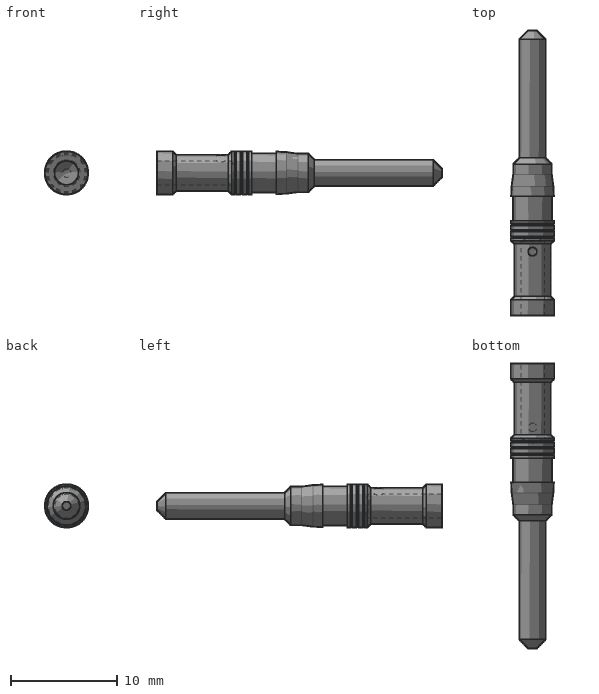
import cadquery as cq
import math


collar_diameter = 4.1
barrel_diameter = 3.45
neck_diameter = 3.7
shoulder_diameter = 3.65
pin_diameter = 2.5
bore_diameter = 2.25
vent_diameter = 0.8

total_length = 26.8
entry_collar_length = 1.475
rib_section_start = 6.72
rib_section_end = 8.92
barb_base = 11.2
barb_bend = 12.15
barb_end = 13.25
shoulder_end = 14.225

barb_bend_diameter = 3.95
barb_base_diameter = 4.05

groove_count = 3
groove_width = 0.2
groove_pitch = 0.6
first_groove_center = 7.35

tip_diameter = 0.8

bore_depth = 7.0
drill_point_angle = 130
vent_position = 6.0


def cone_length(large_diameter, small_diameter):
    """Axial length of a 45 degree cone between two diameters."""
    return (large_diameter - small_diameter) / 2


def make_body():
    collar_radius = collar_diameter / 2
    barrel_radius = barrel_diameter / 2
    neck_radius = neck_diameter / 2
    shoulder_radius = shoulder_diameter / 2
    pin_radius = pin_diameter / 2
    collar_cone = cone_length(collar_diameter, barrel_diameter)
    shoulder_cone = cone_length(shoulder_diameter, pin_diameter)
    tip_cone = cone_length(pin_diameter, tip_diameter)

    outline = (
        cq.Workplane("XY")
        .moveTo(0, 0)
        .lineTo(collar_radius, 0)
        .lineTo(collar_radius, entry_collar_length)
        .lineTo(barrel_radius, entry_collar_length + collar_cone)
        .lineTo(barrel_radius, rib_section_start)
        .lineTo(collar_radius, rib_section_start + collar_cone)
        .lineTo(collar_radius, rib_section_end)
        .lineTo(neck_radius, rib_section_end)
        .lineTo(neck_radius, barb_base)
        .lineTo(barb_base_diameter / 2, barb_base)
        .lineTo(barb_bend_diameter / 2, barb_bend)
        .lineTo(shoulder_radius, barb_end)
        .lineTo(shoulder_radius, shoulder_end)
        .lineTo(pin_radius, shoulder_end + shoulder_cone)
        .lineTo(pin_radius, total_length - tip_cone)
        .lineTo(tip_diameter / 2, total_length)
        .lineTo(0, total_length)
        .close()
    )
    return outline.revolve(360, (0, 0, 0), (0, 1, 0))


def cut_grooves(body):
    collar_radius = collar_diameter / 2
    half_width = groove_width / 2
    for index in range(groove_count):
        center = first_groove_center + index * groove_pitch
        groove = (
            cq.Workplane("XY")
            .moveTo(collar_radius, center - half_width)
            .lineTo(collar_radius, center + half_width)
            .lineTo(collar_radius - half_width, center)
            .close()
            .revolve(360, (0, 0, 0), (0, 1, 0))
        )
        body = body.cut(groove)
    return body


def cut_bore(body):
    bore_radius = bore_diameter / 2
    point_length = bore_radius / math.tan(math.radians(drill_point_angle / 2))
    bore = (
        cq.Workplane("XY")
        .moveTo(0, 0)
        .lineTo(bore_radius, 0)
        .lineTo(bore_radius, bore_depth)
        .lineTo(0, bore_depth + point_length)
        .close()
        .revolve(360, (0, 0, 0), (0, 1, 0))
    )
    return body.cut(bore)


def cut_vent(body):
    vent = (
        cq.Workplane("XY")
        .center(0, vent_position)
        .circle(vent_diameter / 2)
        .extrude(collar_diameter / 2)
    )
    return body.cut(vent)


result = cut_vent(cut_bore(cut_grooves(make_body())))